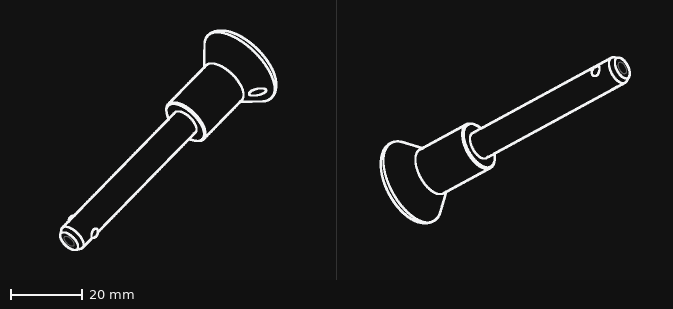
import cadquery as cq

LENGTH = 79.5

HANDLE_LENGTH = 26.55
FLARE_END_DEPTH = 8.9
RIM_EDGE_DEPTH = 1.6
RIM_BAND_WIDTH = 0.2
RIM_DIAMETER = 25.0
CAP_DIAMETER = 23.05
GRIP_DIAMETER = 14.0
GRIP_CHAMFER = 0.3

LANYARD_HOLE_DIAMETER = 3.0
LANYARD_HOLE_OFFSET = 9.5

SHANK_DIAMETER = 8.0
TIP_DIAMETER = 6.4
TIP_TAPER_LENGTH = 1.5
SPINDLE_DIAMETER = 3.6

BALL_DIAMETER = 3.5
BALL_SPAN = 9.55
BALL_DISTANCE_FROM_TIP = 6.4


def y_cylinder(diameter, start, end, x=0.0):
    """Cylinder parallel to Y between two Y positions."""
    cylinder = cq.Solid.makeCylinder(diameter / 2, end - start, cq.Vector(x, start, 0), cq.Vector(0, 1, 0))
    return cq.Workplane(cylinder)


def handle():
    """Solid of revolution about Y, with the lanyard hole through its flare."""
    grip_start = LENGTH - HANDLE_LENGTH
    rim_back = LENGTH - RIM_EDGE_DEPTH
    profile = (
        cq.Workplane("XY")
        .moveTo(0, grip_start)
        .lineTo(GRIP_DIAMETER / 2 - GRIP_CHAMFER, grip_start)
        .lineTo(GRIP_DIAMETER / 2, grip_start + GRIP_CHAMFER)
        .lineTo(GRIP_DIAMETER / 2, LENGTH - FLARE_END_DEPTH)
        .lineTo(RIM_DIAMETER / 2, rim_back - RIM_BAND_WIDTH)
        .lineTo(RIM_DIAMETER / 2, rim_back)
        .tangentArcPoint((CAP_DIAMETER / 2, LENGTH), relative=False)
        .lineTo(0, LENGTH)
        .close()
    )
    body = profile.revolve(360, (0, 0), (0, 1))
    hole = y_cylinder(LANYARD_HOLE_DIAMETER, LENGTH - FLARE_END_DEPTH, LENGTH, LANYARD_HOLE_OFFSET)
    return body.cut(hole)


def shank():
    """Sleeve around the spindle, tapered at the tip and ending at the grip."""
    sleeve_end = LENGTH - HANDLE_LENGTH
    profile = (
        cq.Workplane("XY")
        .moveTo(SPINDLE_DIAMETER / 2, 0)
        .lineTo(TIP_DIAMETER / 2, 0)
        .lineTo(SHANK_DIAMETER / 2, TIP_TAPER_LENGTH)
        .lineTo(SHANK_DIAMETER / 2, sleeve_end)
        .lineTo(SPINDLE_DIAMETER / 2, sleeve_end)
        .close()
    )
    return profile.revolve(360, (0, 0), (0, 1))


def locking_balls():
    """Pair of balls, one on each X flank of the shank."""
    offset = (BALL_SPAN - BALL_DIAMETER) / 2
    ball = cq.Workplane("XZ").sphere(BALL_DIAMETER / 2).translate((-offset, BALL_DISTANCE_FROM_TIP, 0))
    return ball, ball.mirror("YZ")


spindle = y_cylinder(SPINDLE_DIAMETER, 0, LENGTH - HANDLE_LENGTH)

result = handle().union(shank(), clean=False).union(spindle, clean=False)
for locking_ball in locking_balls():
    result = result.union(locking_ball, clean=False)